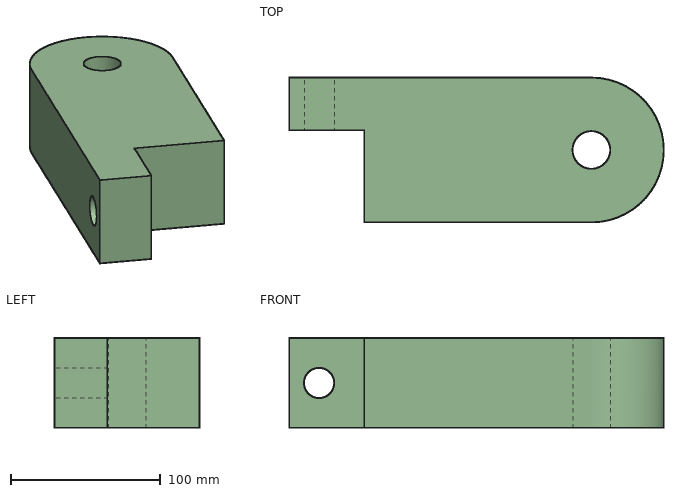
import cadquery as cq

length = 250.0
width = 96.8
height = 60.0
end_radius = width / 2
end_center_x = length - end_radius

tongue_length = 50.0
tongue_thickness = 35.2
notch_depth = width - tongue_thickness

pivot_diameter = 25.0
cross_hole_diameter = 20.0
cross_hole_x = 20.0


def make_body():
    """Plate with a stepped end and a half-round end, centred on Y = 0."""
    step_y = -width / 2 + notch_depth
    return (
        cq.Workplane("XY")
        .moveTo(0, step_y)
        .lineTo(tongue_length, step_y)
        .lineTo(tongue_length, -width / 2)
        .lineTo(end_center_x, -width / 2)
        .threePointArc((length, 0), (end_center_x, width / 2))
        .lineTo(0, width / 2)
        .close()
        .extrude(height)
    )


def make_pivot_hole():
    """Vertical hole concentric with the rounded end."""
    return (
        cq.Workplane("XY")
        .center(end_center_x, 0)
        .circle(pivot_diameter / 2)
        .extrude(height)
    )


def make_cross_hole():
    """Hole along Y through the tongue at mid height."""
    return (
        cq.Workplane("XZ")
        .center(cross_hole_x, height / 2)
        .circle(cross_hole_diameter / 2)
        .extrude(width / 2, both=True)
    )


result = make_body().cut(make_pivot_hole()).cut(make_cross_hole())